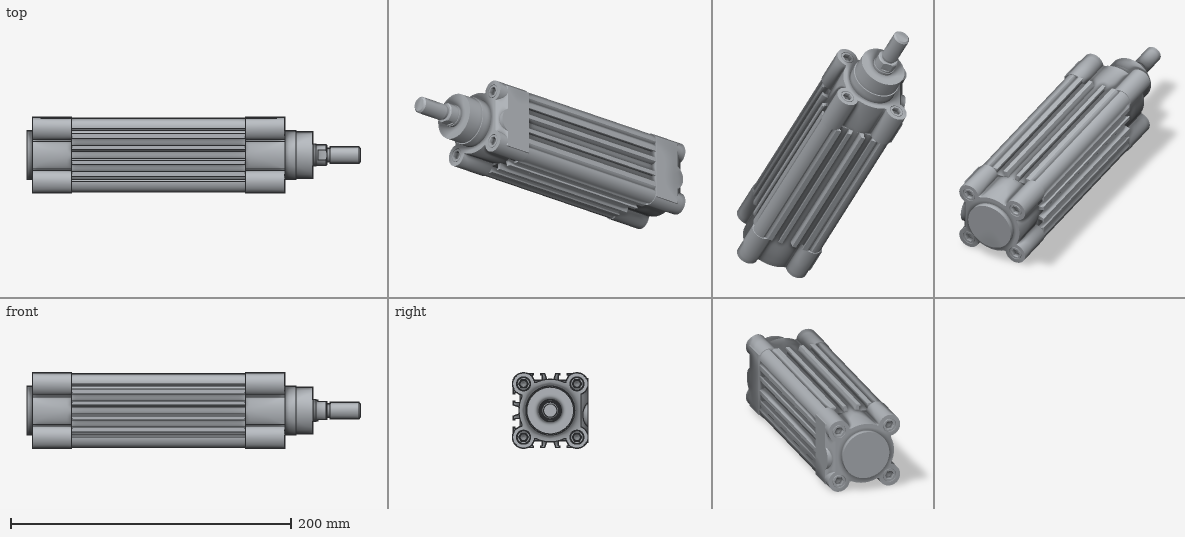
import cadquery as cq
import math


REAR_FACE = 3.8
CAP_LENGTH = 28.0
BARREL_LENGTH = 124.0
COLLAR_LENGTH = 7.9
NECK_LENGTH = 12.1
BARREL_START = REAR_FACE + CAP_LENGTH
BARREL_END = BARREL_START + BARREL_LENGTH
FRONT_FACE = BARREL_END + CAP_LENGTH
NECK_STEP = FRONT_FACE + COLLAR_LENGTH
NECK_END = NECK_STEP + NECK_LENGTH
TOTAL_LENGTH = 238.0

OUTER_WIDTH = 54.0
OUTER_HALF = OUTER_WIDTH / 2
BOSS_PITCH = 38.0
BOSS_OFFSET = BOSS_PITCH / 2
BOSS_RADIUS = OUTER_HALF - BOSS_OFFSET
CAP_CORE_DIAMETER = 44.7
CAP_WEB_WIDTH = 40.2
SPIGOT_DIAMETER = 35.0
NECK_DIAMETER = 33.3

HEAD_DIAMETER = 9.0
HEAD_BORE_DIAMETER = 10.0
HEAD_GAP_DEPTH = 1.2
SOCKET_SIDES = 6
SOCKET_FLATS = 6.0
SOCKET_DEPTH = 3.5
SOCKET_POINT_DIAMETER = 5.0
SOCKET_POINT_ANGLE = 118.0

PORT_FLAT_WIDTH = 46.0
PORT_SLOPE_BOTTOM = 22.0
PORT_SLOPE_LENGTH = 7.5
PORT_PAD_DIAMETER = 19.0
PORT_PAD_INSET = 11.7
PORT_PAD_Z = -3.0

BARREL_HALF = 26.5
BARREL_CORNER_RADIUS = BARREL_HALF - BOSS_OFFSET
CENTRE_GROOVE_FLOOR_RADIUS = 22.4
CENTRE_GROOVE_TOP_WIDTH = 7.9
CENTRE_GROOVE_FLOOR_WIDTH = 5.0
SLOT_CENTRE = 9.3
SLOT_OPENING = 5.0
SLOT_INNER_WIDTH = 7.0
SLOT_FLOOR = 21.7
SLOT_LIP = 1.2
V_GROOVE_INNER = 15.2
V_GROOVE_BOTTOM = 17.4
V_GROOVE_OUTER = BOSS_OFFSET
V_GROOVE_DEPTH = 1.7

ROD_DIAMETER = 16.0
SHOULDER_LENGTH = 2.1
ROD_SHOULDER = NECK_END + SHOULDER_LENGTH
ROD_TIP_DIAMETER = 15.0
ROD_TIP_END = 214.0
ROD_TIP_CHAMFER = 0.7
FLAT_WIDTH = 13.0
FLAT_START = 207.5
RELIEF_DIAMETER = 10.0
THREAD_START = 216.3
THREAD_DIAMETER = 12.0
THREAD_CHAMFER = 1.2


def section_plane(x):
    """Plane across the axis at x: local x is Y, local y is Z, extruding toward +X."""
    return cq.Workplane("YZ", origin=(x, 0, 0))


def disc(start, end, diameter):
    return section_plane(start).circle(diameter / 2).extrude(end - start)


def boss_places(work):
    return work.rect(BOSS_PITCH, BOSS_PITCH, forConstruction=True).vertices()


def screw_head_cut():
    """Ring gap and hexagon socket of one screw head at the origin, sunk toward +X."""
    gap = (
        section_plane(0)
        .circle(HEAD_BORE_DIAMETER / 2)
        .circle(HEAD_DIAMETER / 2)
        .extrude(HEAD_GAP_DEPTH)
    )
    socket_corners = SOCKET_FLATS / math.cos(math.pi / SOCKET_SIDES)
    socket = section_plane(0).polygon(SOCKET_SIDES, socket_corners).extrude(SOCKET_DEPTH)
    point_radius = SOCKET_POINT_DIAMETER / 2
    point_length = point_radius / math.tan(math.radians(SOCKET_POINT_ANGLE / 2))
    point = (
        cq.Workplane("XY")
        .lineTo(SOCKET_DEPTH + point_length, 0)
        .lineTo(SOCKET_DEPTH, point_radius)
        .lineTo(0, point_radius)
        .close()
        .revolve(360, (0, 0, 0), (1, 0, 0))
    )
    return gap, socket.union(point)


def port_side():
    """Filled +Y side with a sloped outer end and a round port pad."""
    fill = (
        cq.Workplane("XY", origin=(0, 0, -PORT_FLAT_WIDTH / 2))
        .moveTo(0, BOSS_OFFSET)
        .lineTo(0, PORT_SLOPE_BOTTOM)
        .lineTo(PORT_SLOPE_LENGTH, OUTER_HALF)
        .lineTo(CAP_LENGTH, OUTER_HALF)
        .lineTo(CAP_LENGTH, BOSS_OFFSET)
        .close()
        .extrude(PORT_FLAT_WIDTH)
    )
    pad = (
        cq.Workplane("XZ", origin=(PORT_PAD_INSET, 0, PORT_PAD_Z))
        .circle(PORT_PAD_DIAMETER / 2)
        .extrude(-OUTER_HALF)
    )
    return fill.union(pad)


def cap_body():
    """End cap with its outer face at X = 0 and its barrel face at X = CAP_LENGTH."""
    core = disc(0, CAP_LENGTH, CAP_CORE_DIAMETER)
    slope_relief = (
        cq.Workplane("XY", origin=(0, 0, -OUTER_HALF))
        .moveTo(0, PORT_SLOPE_BOTTOM)
        .lineTo(PORT_SLOPE_LENGTH, OUTER_HALF)
        .lineTo(0, OUTER_HALF)
        .close()
        .extrude(2 * OUTER_HALF)
    )
    web = section_plane(0).rect(CAP_WEB_WIDTH, CAP_WEB_WIDTH).extrude(CAP_LENGTH)
    bosses = boss_places(section_plane(0)).circle(BOSS_RADIUS).extrude(CAP_LENGTH)
    body = core.cut(slope_relief).union(web).union(port_side()).union(bosses)
    gap, socket = screw_head_cut()
    for side_y in (-BOSS_OFFSET, BOSS_OFFSET):
        for side_z in (-BOSS_OFFSET, BOSS_OFFSET):
            place = (0, side_y, side_z)
            body = body.cut(gap.translate(place)).cut(socket.translate(place))
    return body


def make_rear_cap():
    spigot = disc(0, REAR_FACE, SPIGOT_DIAMETER)
    return cap_body().translate((REAR_FACE, 0, 0)).union(spigot)


def make_front_cap():
    cap = cap_body().mirror("YZ").translate((FRONT_FACE, 0, 0))
    cap = cap.union(disc(FRONT_FACE, NECK_STEP, SPIGOT_DIAMETER))
    cap = cap.union(disc(NECK_STEP, NECK_END, NECK_DIAMETER))
    return cap.cut(disc(BARREL_END, NECK_END, ROD_DIAMETER))


def slot_box(side, width, top):
    """Box of a sensor slot from its floor up to the given height."""
    height = top - SLOT_FLOOR
    return (
        section_plane(BARREL_START)
        .center(side * SLOT_CENTRE, SLOT_FLOOR + height / 2)
        .rect(width, height)
        .extrude(BARREL_LENGTH)
    )


def side_grooves():
    """Grooves of the +Z side: centre groove, then a T-slot and a V-groove on each half."""
    top_half = CENTRE_GROOVE_TOP_WIDTH / 2
    floor_half = CENTRE_GROOVE_FLOOR_WIDTH / 2
    lip_bottom = BARREL_HALF - SLOT_LIP
    floor_edge = math.sqrt(CENTRE_GROOVE_FLOOR_RADIUS**2 - floor_half**2)
    grooves = (
        section_plane(BARREL_START)
        .moveTo(-top_half, BARREL_HALF)
        .lineTo(-floor_half, floor_edge)
        .threePointArc((0, CENTRE_GROOVE_FLOOR_RADIUS), (floor_half, floor_edge))
        .lineTo(top_half, BARREL_HALF)
        .close()
        .extrude(BARREL_LENGTH)
    )
    for side in (-1, 1):
        opening = slot_box(side, SLOT_OPENING, BARREL_HALF)
        channel = slot_box(side, SLOT_INNER_WIDTH, lip_bottom)
        v_groove = (
            section_plane(BARREL_START)
            .moveTo(side * V_GROOVE_INNER, BARREL_HALF)
            .lineTo(side * V_GROOVE_BOTTOM, BARREL_HALF - V_GROOVE_DEPTH)
            .lineTo(side * V_GROOVE_OUTER, BARREL_HALF)
            .close()
            .extrude(BARREL_LENGTH)
        )
        grooves = grooves.union(opening).union(channel).union(v_groove)
    return grooves


def make_barrel():
    barrel = (
        section_plane(BARREL_START)
        .rect(2 * BARREL_HALF, 2 * BARREL_HALF)
        .extrude(BARREL_LENGTH)
        .edges("|X")
        .fillet(BARREL_CORNER_RADIUS)
    )
    grooves = side_grooves()
    for quarter in range(4):
        barrel = barrel.cut(grooves.rotate((0, 0, 0), (1, 0, 0), 90 * quarter))
    return barrel


def make_rod():
    """Rod through the front cap, with wrench flats, a thread relief and a plain thread end."""
    shank = disc(BARREL_END, ROD_SHOULDER, ROD_DIAMETER)
    tip = disc(ROD_SHOULDER, ROD_TIP_END, ROD_TIP_DIAMETER).faces(">X").chamfer(ROD_TIP_CHAMFER)
    flat_length = ROD_TIP_END - FLAT_START
    flat_depth = (ROD_TIP_DIAMETER - FLAT_WIDTH) / 2
    for side in (-1, 1):
        flat_z = side * (FLAT_WIDTH + flat_depth) / 2
        flat = cq.Workplane("XY").box(flat_length, ROD_TIP_DIAMETER, flat_depth)
        tip = tip.cut(flat.translate((FLAT_START + flat_length / 2, 0, flat_z)))
    relief = disc(ROD_TIP_END, THREAD_START, RELIEF_DIAMETER)
    thread = disc(THREAD_START, TOTAL_LENGTH, THREAD_DIAMETER).faces(">X").chamfer(THREAD_CHAMFER)
    return shank.union(tip).union(relief).union(thread)


rear_cap = make_rear_cap()
barrel = make_barrel()
front_cap = make_front_cap()
rod = make_rod()

result = cq.Compound.makeCompound([rear_cap.val(), barrel.val(), front_cap.val(), rod.val()])